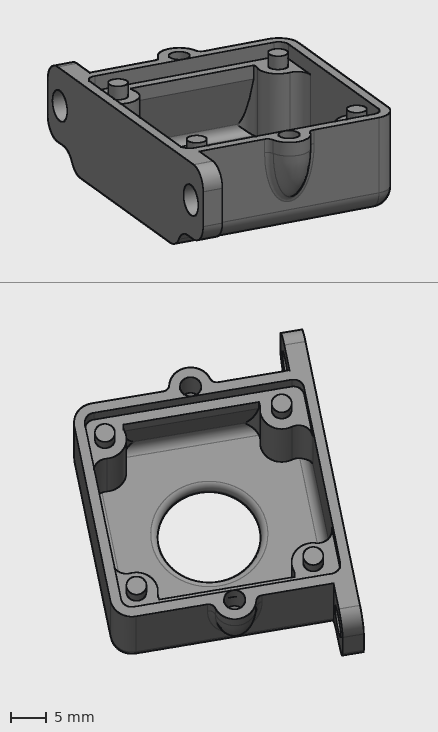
import cadquery as cq
import math

body_width = 33.5
body_depth = 34.0
body_height = 14.2
outer_radius = 3.0
wall = 1.5
floor_thickness = 1.5

plate_width = 47.5
plate_thickness = 3.0
plate_bottom = outer_radius
plate_radius = 3.0
plate_hole_diameter = 4.5
plate_hole_spacing = 40.0

cavity_radius = 1.5
ledge_width = 1.5
ledge_top = 12.0
ledge_lip = 2.0

post_radius = 3.0
post_blend = 2.0
post_spacing = (24.0, 25.0)
pattern_center_y = 17.5
pin_diameter = 2.8
pin_height = 2.0

opening_diameter = 14.3
opening_round = 1.0

ear_radius = 3.0
ear_straight = 2.0
ear_drop = 7.2
ear_blend = 1.0
ear_center_y = body_depth / 2
ear_hole_diameter = 2.96
ear_hole_depth = 5.0
drill_tip_angle = 118.0

half_body = body_width / 2
plate_center_z = (plate_bottom + body_height) / 2
half_cavity = half_body - wall
cavity_front = wall
cavity_back = body_depth - wall
half_mouth = half_cavity - ledge_width
cavity_floor_round_top = floor_thickness + cavity_radius


def make_body():
    """Outer block, rounded at the back corners and along the bottom except at the front."""
    block = cq.Workplane("XY").box(body_width, body_depth, body_height, centered=(True, False, False))
    block = block.edges("|Z and >Y").fillet(outer_radius)
    return block.faces("<Z").edges("not <Y").fillet(outer_radius)


def make_ear(side):
    """Half-ellipsoid ear under a short cylinder, centred on the side wall."""
    shoulder = body_height - ear_straight
    half_profile = (
        cq.Workplane("XZ")
        .moveTo(0, body_height)
        .lineTo(ear_radius, body_height)
        .lineTo(ear_radius, shoulder)
        .ellipseArc(ear_radius, ear_drop, -90, 0, startAtCurrent=True, sense=-1)
        .close()
    )
    ear = half_profile.revolve(360, (0, 0, 0), (0, 1, 0))
    return ear.translate((side * half_body, ear_center_y, 0))


def add_ears(body):
    """Join both ears and blend them into the side walls."""
    for side in (-1, 1):
        body = body.union(make_ear(side))
    reach = ear_radius + ear_blend
    zone_top = body_height - ear_straight / 4
    zone_half_thickness = ear_blend / 2
    for side in (-1, 1):
        seam_zone = cq.selectors.BoxSelector(
            (side * (half_body - zone_half_thickness), ear_center_y - reach, outer_radius),
            (side * (half_body + zone_half_thickness), ear_center_y + reach, zone_top),
        )
        body = body.edges(seam_zone).fillet(ear_blend)
    return body


def ear_hole(side):
    """Blind drilled hole with a conical tip."""
    radius = ear_hole_diameter / 2
    tip = radius / math.tan(math.radians(drill_tip_angle / 2))
    bottom = body_height - ear_hole_depth
    half_profile = (
        cq.Workplane("XZ")
        .moveTo(0, body_height)
        .lineTo(radius, body_height)
        .lineTo(radius, bottom)
        .lineTo(0, bottom - tip)
        .close()
    )
    hole = half_profile.revolve(360, (0, 0, 0), (0, 1, 0))
    return hole.translate((side * half_body, ear_center_y, 0))


def make_plate():
    """Front plate whose underside sweeps down into the rounded bottom of the body."""
    plate = (
        cq.Workplane("XZ")
        .center(0, plate_center_z)
        .rect(plate_width, body_height - plate_bottom)
        .extrude(-plate_thickness)
        .edges("|Y")
        .fillet(plate_radius)
    )
    round_center_x = half_body - outer_radius
    radius_sum = outer_radius + plate_radius
    sweep_offset = math.sqrt(radius_sum**2 - plate_radius**2)
    sweep_end_x = round_center_x + sweep_offset
    touch_x = round_center_x + sweep_offset * outer_radius / radius_sum
    touch_z = plate_bottom - plate_radius * outer_radius / radius_sum
    web = (
        cq.Workplane("XZ")
        .moveTo(-sweep_end_x, plate_bottom)
        .radiusArc((-touch_x, touch_z), plate_radius)
        .lineTo(touch_x, touch_z)
        .radiusArc((sweep_end_x, plate_bottom), plate_radius)
        .lineTo(sweep_end_x, plate_bottom + plate_radius)
        .lineTo(-sweep_end_x, plate_bottom + plate_radius)
        .close()
        .extrude(-plate_thickness)
    )
    return plate.union(web)


def plate_holes():
    """Screw holes through both ends of the plate."""
    half_spacing = plate_hole_spacing / 2
    return (
        cq.Workplane("XZ")
        .center(0, plate_center_z)
        .pushPoints([(-half_spacing, 0), (half_spacing, 0)])
        .circle(plate_hole_diameter / 2)
        .extrude(-plate_thickness)
    )


def make_post(side_x, side_y):
    """Corner post up to the ledge, blended into the two cavity walls beside it."""
    center_x = post_spacing[0] / 2
    gap_x = half_cavity - center_x
    post_y = pattern_center_y + side_y * post_spacing[1] / 2
    gap_y = cavity_back - post_y if side_y > 0 else post_y - cavity_front

    radius_sum = post_radius + post_blend
    blend_y = gap_y - post_blend
    blend_x = -math.sqrt(radius_sum**2 - blend_y**2)
    side_blend_x = gap_x - post_blend
    side_blend_y = -math.sqrt(radius_sum**2 - side_blend_x**2)
    share = post_radius / radius_sum
    diagonal = -post_radius / math.sqrt(2)
    foot_x = gap_x + wall / 2
    foot_y = gap_y + wall / 2

    def place(x, y):
        return side_x * (center_x + x), post_y + side_y * y

    turn = side_x * side_y
    return (
        cq.Workplane("XY")
        .workplane(offset=floor_thickness)
        .moveTo(*place(foot_x, foot_y))
        .lineTo(*place(blend_x, foot_y))
        .lineTo(*place(blend_x, gap_y))
        .radiusArc(place(blend_x * share, blend_y * share), turn * post_blend)
        .threePointArc(place(diagonal, diagonal), place(side_blend_x * share, side_blend_y * share))
        .radiusArc(place(gap_x, side_blend_y), turn * post_blend)
        .lineTo(*place(foot_x, side_blend_y))
        .close()
        .extrude(ledge_top - floor_thickness)
    )


def make_pin(side_x, side_y):
    """Locating pin on top of a corner post."""
    return (
        cq.Workplane("XY")
        .workplane(offset=ledge_top)
        .center(side_x * post_spacing[0] / 2, pattern_center_y + side_y * post_spacing[1] / 2)
        .circle(pin_diameter / 2)
        .extrude(pin_height)
    )


def make_ledge(side):
    """Ledge along a side wall: a straight lip above a face that slopes back to the wall."""
    return (
        cq.Workplane("XZ", origin=(0, cavity_front, 0))
        .moveTo(side * half_cavity, ledge_top)
        .lineTo(side * half_mouth, ledge_top)
        .lineTo(side * half_mouth, ledge_top - ledge_lip)
        .lineTo(side * half_cavity, cavity_floor_round_top)
        .close()
        .extrude(cavity_front - cavity_back)
    )


def make_cavity():
    """Hollow of the housing, with the posts and ledges left standing."""
    cavity = (
        cq.Workplane("XY")
        .workplane(offset=floor_thickness)
        .center(0, (cavity_front + cavity_back) / 2)
        .rect(2 * half_cavity, cavity_back - cavity_front)
        .extrude(body_height - floor_thickness)
        .edges("|Z or <Z")
        .fillet(cavity_radius)
    )
    for side_x in (-1, 1):
        cavity = cavity.cut(make_ledge(side_x))
        for side_y in (-1, 1):
            cavity = cavity.cut(make_post(side_x, side_y))
            cavity = cavity.cut(make_pin(side_x, side_y))
    return cavity


def floor_opening():
    """Round hole through the floor, its upper rim rounded over."""
    radius = opening_diameter / 2
    rim_radius = radius + opening_round
    half_profile = (
        cq.Workplane("XZ")
        .lineTo(radius, 0)
        .lineTo(radius, floor_thickness - opening_round)
        .radiusArc((rim_radius, floor_thickness), opening_round)
        .lineTo(0, floor_thickness)
        .close()
    )
    opening = half_profile.revolve(360, (0, 0, 0), (0, 1, 0))
    return opening.translate((0, pattern_center_y, 0))


housing = add_ears(make_body())
housing = housing.union(make_plate())
housing = housing.cut(make_cavity())
housing = housing.cut(floor_opening())
housing = housing.cut(plate_holes())
for ear_side in (-1, 1):
    housing = housing.cut(ear_hole(ear_side))

result = housing